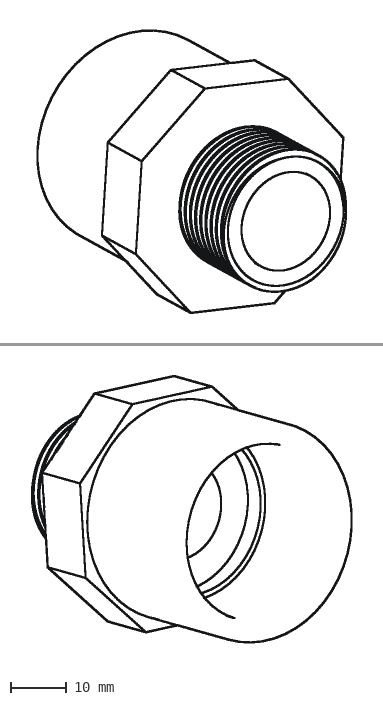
import cadquery as cq
import math

total_length = 54.0
collar_start = 26.0
collar_end = 37.85

socket_outer_diameter = 40.0
socket_mouth_diameter = 32.0
socket_depth = 22.0
relief_diameter = 30.0
relief_end = collar_start
rim_radius = 0.95

collar_sides = 8
collar_across_flats = 42.0
collar_tilt = -4.0

spigot_diameter = 24.1
bore_diameter = 18.4

thread_outer_diameter = 26.3
thread_gauge_length = 25.4
thread_turns_per_gauge = 14
thread_pitch = thread_gauge_length / thread_turns_per_gauge
thread_crest_width = 0.45
thread_half_angle = math.radians(27.5)
thread_root_overlap = 0.1
thread_helix_start = 35.95
thread_sweep_length = total_length - thread_helix_start + thread_pitch


def cylinder(diameter, start, end):
    return cq.Workplane("YZ").workplane(offset=start).circle(diameter / 2).extrude(end - start)


def make_socket_cavity():
    """Stepped socket: a pipe stop at socket_depth, then a narrower relief."""
    pipe_seat = cylinder(socket_mouth_diameter, 0, socket_depth)
    relief = cylinder(relief_diameter, socket_depth, relief_end)
    return pipe_seat.union(relief)


def make_collar():
    circumscribed_diameter = collar_across_flats / math.cos(math.pi / collar_sides)
    half_side_angle = 180.0 / collar_sides
    return (
        cq.Workplane("YZ")
        .workplane(offset=collar_start)
        .polygon(collar_sides, circumscribed_diameter)
        .extrude(collar_end - collar_start)
        .rotate((0, 0, 0), (1, 0, 0), half_side_angle + collar_tilt)
    )


def make_fitting():
    socket = cylinder(socket_outer_diameter, 0, collar_end).cut(make_socket_cavity())
    socket = socket.faces("<X").edges().fillet(rim_radius)
    spigot = cylinder(spigot_diameter, collar_start, total_length)
    collar = make_collar()
    bore = cylinder(bore_diameter, 0, total_length)
    body = socket.union(collar.cut(cylinder(socket_outer_diameter, collar_start, collar_end)))
    return body.union(spigot).cut(bore)


def make_thread():
    """Helical ridge wound on the spigot, trimmed flush at both ends."""
    core_radius = spigot_diameter / 2
    crest_radius = thread_outer_diameter / 2
    root_radius = core_radius - thread_root_overlap
    half_crest = thread_crest_width / 2
    half_root = half_crest + (crest_radius - root_radius) * math.tan(thread_half_angle)

    helix = cq.Wire.makeHelix(thread_pitch, thread_sweep_length, core_radius)
    ridge = (
        cq.Workplane("XZ")
        .polyline([
            (root_radius, -half_root),
            (crest_radius, -half_crest),
            (crest_radius, half_crest),
            (root_radius, half_root),
        ])
        .close()
        .sweep(cq.Workplane(helix), isFrenet=True)
        .rotate((0, 0, 0), (0, 1, 0), 90)
        .translate((thread_helix_start, 0, 0))
    )
    trimming_envelope = cylinder(thread_outer_diameter + thread_pitch, collar_end, total_length)
    core = cylinder(spigot_diameter, collar_start, total_length + thread_pitch)
    return ridge.intersect(trimming_envelope).cut(core)


fitting = make_fitting()
thread = make_thread()

result = cq.Compound.makeCompound([*fitting.solids().vals(), *thread.solids().vals()])